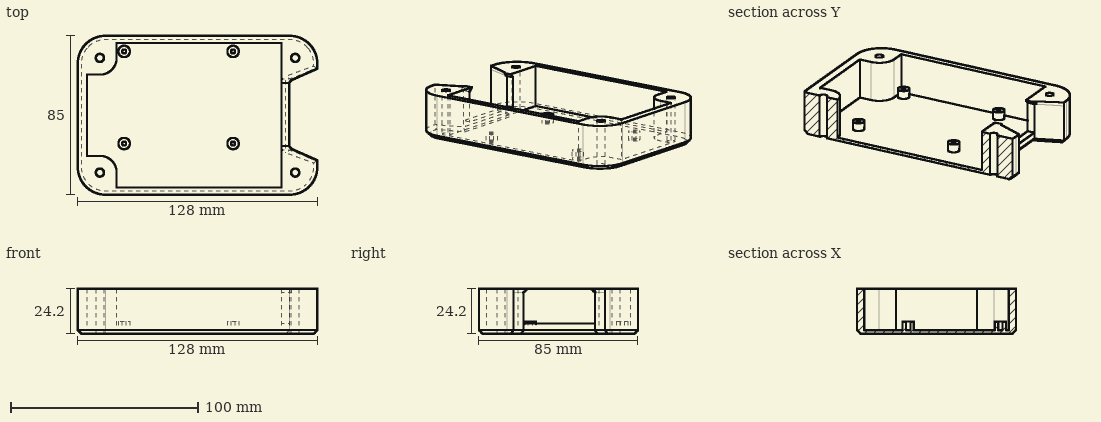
import cadquery as cq

length = 128.0
width = 85.0
height = 24.2
corner_radius = 15.0
bottom_chamfer = 2.0

floor = 2.0
side_wall = 4.0
left_wall = 5.0
cavity_right = 44.9
cavity_depth = height - floor

screw_x = 52.1
screw_y = 30.6
screw_diameter = 4.2
boss_radius = 9.0

standoff_diameter = 6.1
standoff_hole_diameter = 2.2
standoff_height = 4.5
standoff_left = -39.2
standoff_bottom = -15.1
standoff_pitch_x = 58.1
standoff_pitch_y = 49.2

opening_center_y = 0.4
sill_height = 5.5
sill_edge = 49.0
throat_half_width = 19.0
flare_half_width = 24.5
lip_height = 2.0
lip_overhang = 2.0
lip_half_width = throat_half_width - lip_overhang
lip_bend_run = 1.2
lip_bend_half_width = 18.3


def make_body():
    block = cq.Workplane("XY").box(length, width, height, centered=(True, True, False))
    rounded = block.edges("|Z").fillet(corner_radius)
    return rounded.cut(make_opening()).faces("<Z").edges().chamfer(bottom_chamfer)


def make_cavity():
    """Main pocket, widened at the left between the two rounded screw bosses."""
    left = left_wall - length / 2
    half_width = width / 2 - side_wall
    boss_right = boss_radius - screw_x
    boss_inner = screw_y - boss_radius
    diagonal = boss_radius * 0.5 ** 0.5
    arc_x = diagonal - screw_x
    arc_y = screw_y - diagonal
    outline = (
        cq.Workplane("XY", origin=(0, 0, floor))
        .moveTo(left, -boss_inner)
        .lineTo(-screw_x, -boss_inner)
        .threePointArc((arc_x, -arc_y), (boss_right, -screw_y))
        .lineTo(boss_right, -half_width)
        .lineTo(cavity_right, -half_width)
        .lineTo(cavity_right, half_width)
        .lineTo(boss_right, half_width)
        .lineTo(boss_right, screw_y)
        .threePointArc((arc_x, arc_y), (-screw_x, boss_inner))
        .lineTo(left, boss_inner)
        .close()
    )
    return outline.extrude(cavity_depth)


def opening_outline(plane, half_width, bend_half_width):
    """Closed outline of the opening: parallel jambs, a bend, then the widening flare."""
    upper = [
        (cavity_right, half_width),
        (sill_edge, half_width),
        (sill_edge + lip_bend_run, bend_half_width),
        (length / 2, flare_half_width),
    ]
    lower = [(x, -y) for x, y in reversed(upper)]
    return plane.polyline(upper + lower).close()


def make_opening():
    """Straight-sided opening whose top tapers in to the lip, less the sill across its foot."""
    lip_base = height - lip_height
    flare_slope = (flare_half_width - throat_half_width) / (length / 2 - sill_edge)
    bend_half_width = throat_half_width + lip_bend_run * flare_slope
    base_plane = cq.Workplane("XY", origin=(0, opening_center_y, 0))
    straight = opening_outline(base_plane, throat_half_width, bend_half_width).extrude(lip_base)
    lip_plane = base_plane.workplane(offset=lip_base)
    lip_start = opening_outline(lip_plane, throat_half_width, bend_half_width)
    lip_end_plane = lip_start.workplane(offset=lip_height)
    taper = opening_outline(lip_end_plane, lip_half_width, lip_bend_half_width).loft(ruled=True, combine=False)
    sill = cq.Workplane("XY").box(
        sill_edge - cavity_right, width, sill_height, centered=(False, True, False)
    )
    sill = sill.translate((cavity_right, 0, 0))
    return straight.union(taper).cut(sill)


def make_standoffs():
    points = [
        (standoff_left + i * standoff_pitch_x, standoff_bottom + j * standoff_pitch_y)
        for i in range(2)
        for j in range(2)
    ]
    base = cq.Workplane("XY", origin=(0, 0, floor)).pushPoints(points)
    posts = base.circle(standoff_diameter / 2).extrude(standoff_height)
    holes = base.circle(standoff_hole_diameter / 2).extrude(standoff_height)
    return posts.cut(holes)


def make_screw_holes():
    return (
        cq.Workplane("XY")
        .rect(2 * screw_x, 2 * screw_y, forConstruction=True)
        .vertices()
        .circle(screw_diameter / 2)
        .extrude(height)
    )


result = make_body().cut(make_cavity())
result = result.cut(make_screw_holes()).union(make_standoffs())